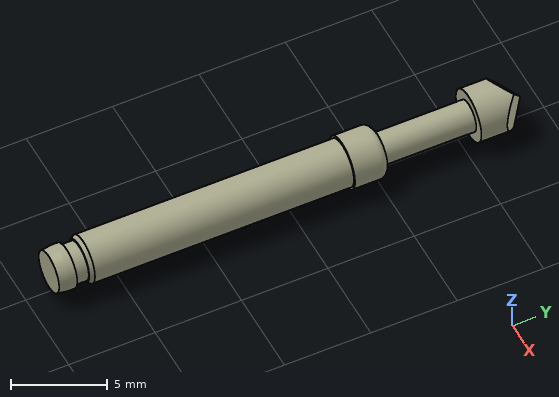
import cadquery as cq
import math

length = 27.3
tip_y = length / 2
tail_y = -length / 2

head_radius = 1.5
head_length = 3.0
facet_count = 3
facet_angle = 45.0

shaft_radius = 0.9
collar_radius = 1.5
collar_start = 8.3
collar_length = 2.02
collar_round_length = 0.4
collar_round_depth = 0.27

barrel_radius = 1.36
barrel_end = 1.75
barrel_chamfer_length = 0.25
barrel_chamfer_depth = 0.16
neck_radius = 1.12
tail_radius = 1.28
tail_length = 1.0
tail_taper_length = 0.6
tail_end_radius = 1.2


def cylinder(radius, y_start, y_end):
    """Solid cylinder about the Y axis between two Y positions."""
    base = cq.Workplane("XZ", origin=(0, y_start, 0))
    return base.circle(radius).extrude(y_start - y_end)


def make_head():
    """Cylinder trimmed by equally spaced facets that meet at the tip."""
    head = cylinder(head_radius, tip_y - head_length, tip_y)
    reach = 2 * head_radius
    drop = reach / math.tan(math.radians(facet_angle))
    cutter = (
        cq.Workplane("XY")
        .polyline([(0, tip_y), (reach, tip_y), (reach, tip_y - drop)])
        .close()
        .extrude(reach, both=True)
    )
    for index in range(facet_count):
        angle = index * 360 / facet_count
        head = head.cut(cutter.rotate((0, 0, 0), (0, 1, 0), angle))
    return head


def make_body():
    """Revolved shaft, collar, barrel and grooved tail."""
    collar_front = tip_y - collar_start
    collar_back = collar_front - collar_length
    barrel_back = tail_y + barrel_end
    tail_front = tail_y + tail_length
    profile = (
        cq.Workplane("XY")
        .moveTo(0, tail_y)
        .lineTo(tail_end_radius, tail_y)
        .lineTo(tail_radius, tail_y + tail_taper_length)
        .lineTo(tail_radius, tail_front)
        .lineTo(neck_radius, tail_front)
        .lineTo(neck_radius, barrel_back)
        .lineTo(barrel_radius - barrel_chamfer_depth, barrel_back)
        .lineTo(barrel_radius, barrel_back + barrel_chamfer_length)
        .lineTo(barrel_radius, collar_back)
        .lineTo(collar_radius, collar_back)
        .lineTo(collar_radius, collar_front - collar_round_length)
        .tangentArcPoint((collar_radius - collar_round_depth, collar_front), relative=False)
        .lineTo(shaft_radius, collar_front)
        .lineTo(shaft_radius, tip_y - head_length)
        .lineTo(0, tip_y - head_length)
        .close()
    )
    return profile.revolve(360, (0, 0, 0), (0, 1, 0))


result = make_body().union(make_head())